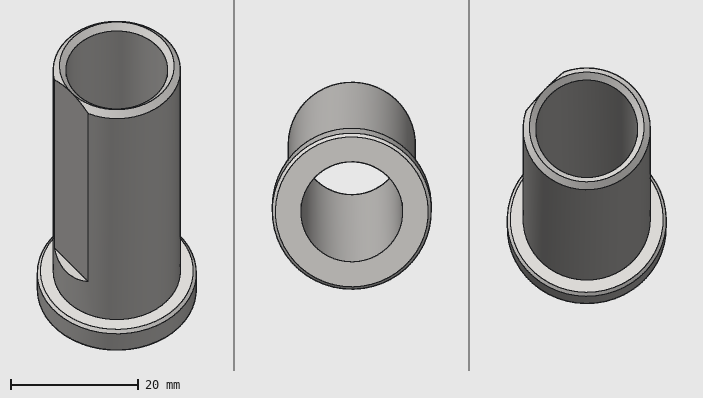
import cadquery as cq

total_height = 55.0
bore_diameter = 16.0
sleeve_diameter = 20.0
flange_diameter = 25.0
flange_thickness = 5.0

flange_chamfer = 0.5
rim_chamfer = (sleeve_diameter - bore_diameter) / 4

flat_depth = 1.0
flat_bottom_z = 13.0

bore_radius = bore_diameter / 2
sleeve_radius = sleeve_diameter / 2
flange_radius = flange_diameter / 2


def make_body():
    """Flanged, bored sleeve turned from its half section (radius, height)."""
    half_section = [
        (bore_radius, 0),
        (flange_radius - flange_chamfer, 0),
        (flange_radius, flange_chamfer),
        (flange_radius, flange_thickness - flange_chamfer),
        (flange_radius - flange_chamfer, flange_thickness),
        (sleeve_radius, flange_thickness),
        (sleeve_radius, total_height - rim_chamfer),
        (sleeve_radius - rim_chamfer, total_height),
        (bore_radius, total_height - rim_chamfer),
    ]
    full_turn = 360
    axis_start = (0, 0)
    axis_end = (0, 1)
    return cq.Workplane("XZ").polyline(half_section).close().revolve(full_turn, axis_start, axis_end)


def make_flat_cutter():
    """Prism that removes the flat; its lower face slopes down and outward at 45 degrees."""
    flat_y = flat_depth - sleeve_radius
    profile = [
        (flat_y, total_height),
        (flat_y, flat_bottom_z),
        (-sleeve_radius, flat_bottom_z - flat_depth),
        (-sleeve_radius, total_height),
    ]
    return cq.Workplane("YZ").polyline(profile).close().extrude(sleeve_radius, both=True)


result = make_body().cut(make_flat_cutter())